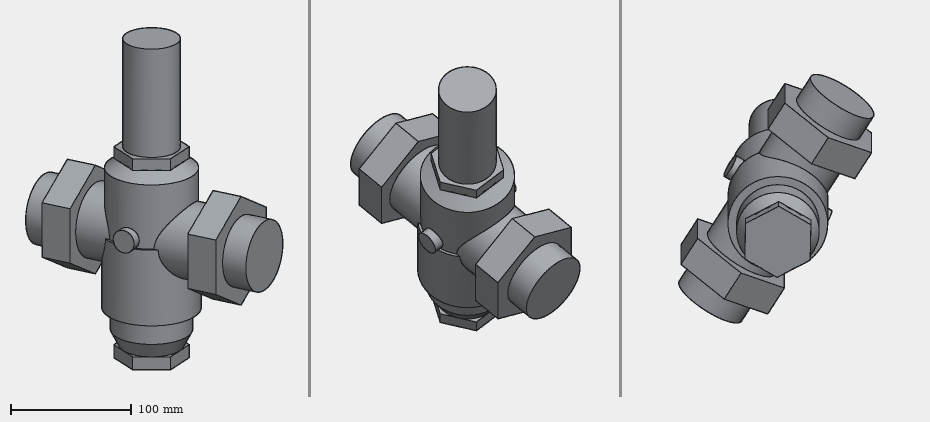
import cadquery as cq
import math

overall_length = 211.0
overall_height = 286.0
overall_width = 93.0

end_radius = 31.0
pipe_radius = 33.0
nut_flats = 84.5
nut_width = 27.0
nut_outer_x = 83.2
nut_inner_x = nut_outer_x - nut_width

body_x = -2.5
bottom_z = -113.0
lower_hex_top_z = bottom_z + 11.7
lower_cone_top_z = -87.2
neck_top_z = -67.8
upper_cone_bottom_z = 57.5
upper_hex_bottom_z = 65.8
stem_bottom_z = 76.0
top_z = bottom_z + overall_height

neck_radius = 34.3
lower_body_radius = 41.5
upper_body_radius = 39.2
stem_radius = 24.0
body_hex_flats = 54.3
cone_tip_radius = body_hex_flats / 2

pin_radius = 10.0
pin_z = 7.2


def corner_diameter(flats):
    """Diameter across the corners of a hexagon of given width across flats."""
    return flats / math.cos(math.pi / 6)


def x_cylinder(radius, length):
    """Cylinder along X, centred on the origin."""
    return cq.Workplane("YZ").circle(radius).extrude(length / 2, both=True)


def body_hex(z_low, z_high):
    """Hexagon on the body axis with its flats facing X."""
    return (
        cq.Workplane("XY", origin=(body_x, 0, z_low))
        .transformed(rotate=(0, 0, 90))
        .polygon(6, corner_diameter(body_hex_flats))
        .extrude(z_high - z_low)
    )


def union_nut(x_low):
    """Hexagon nut on the run pipe with its corners up and down."""
    return (
        cq.Workplane("YZ", origin=(x_low, 0, 0))
        .transformed(rotate=(0, 0, 90))
        .polygon(6, corner_diameter(nut_flats))
        .extrude(nut_width)
    )


def turned_body():
    """Stepped body and stem, revolved about the vertical body axis."""
    profile = [
        (0, lower_hex_top_z),
        (cone_tip_radius, lower_hex_top_z),
        (neck_radius, lower_cone_top_z),
        (neck_radius, neck_top_z),
        (lower_body_radius, neck_top_z),
        (lower_body_radius, 0),
        (upper_body_radius, 0),
        (upper_body_radius, upper_cone_bottom_z),
        (cone_tip_radius, upper_hex_bottom_z),
        (stem_radius, upper_hex_bottom_z),
        (stem_radius, top_z),
        (0, top_z),
    ]
    return (
        cq.Workplane("XZ", origin=(body_x, 0, 0))
        .polyline(profile)
        .close()
        .revolve(360, (0, 0, 0), (0, 1, 0))
    )


def cross_pin():
    """Pin through the body along Y."""
    return (
        cq.Workplane("XZ", origin=(body_x, 0, pin_z))
        .circle(pin_radius)
        .extrude(overall_width / 2, both=True)
    )


result = turned_body()
result = result.union(body_hex(bottom_z, lower_hex_top_z))
result = result.union(body_hex(upper_hex_bottom_z, stem_bottom_z))
result = result.union(x_cylinder(pipe_radius, 2 * nut_inner_x))
result = result.union(x_cylinder(end_radius, overall_length))
for nut_x in (-nut_outer_x, nut_inner_x):
    result = result.union(union_nut(nut_x))
result = result.union(cross_pin())